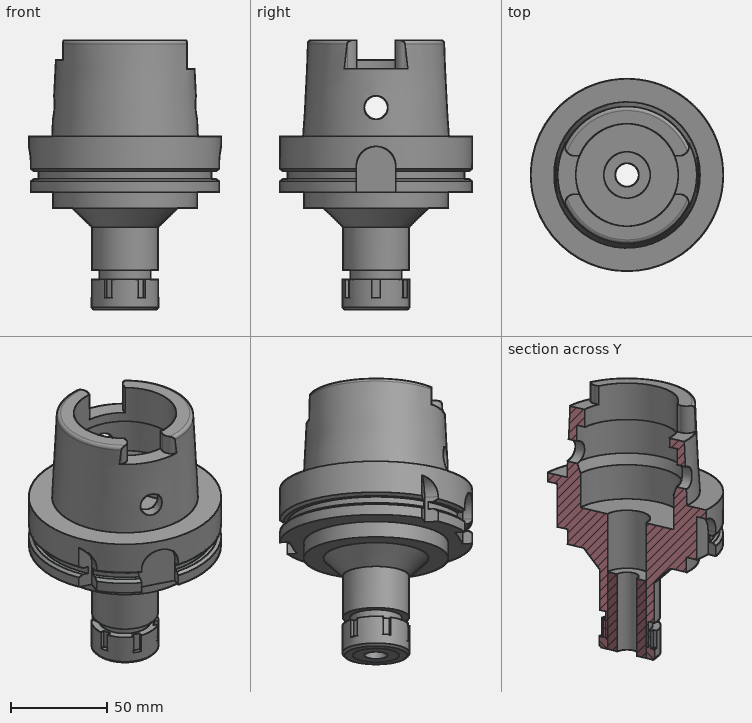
import cadquery as cq
import math

total_height = 140.0

taper_height = 50.0
flange_height = 29.0
boss_height = 8.3
cone_height = 9.8
shank_height = 22.4
neck_height = 4.8

flange_top = total_height - taper_height
flange_bottom = flange_top - flange_height
boss_bottom = flange_bottom - boss_height
cone_bottom = boss_bottom - cone_height
shank_bottom = cone_bottom - shank_height
nut_height = shank_bottom - neck_height

taper_base_radius = 38.0
taper_slope = 1 / 20
taper_mouth_radius = taper_base_radius - taper_slope * taper_height
mouth_rounding = 2.0
flange_radius = 50.0
boss_radius = 37.5
cone_top_radius = 27.3
shank_radius = 17.2
neck_radius = 13.5
nut_radius = 17.5

groove_top = flange_top - 16.8
groove_width = 6.6
groove_bottom = groove_top - groove_width
groove_radius = 46.0
groove_bevel_height = 1.4
groove_bevel_depth = 1.8

mouth_bore_radius = 26.6
mouth_bore_depth = 20.2
undercut_radius = 31.4
undercut_end_depth = 40.5
lower_cavity_radius = 29.1
cavity_cone_height = 5.6
cavity_depth = 65.0

drive_slot_half_width = 10.0
drive_slot_rounding = 5.0
drive_slot_shoulder = 32.2
drive_shoulder_half_width = 19.6
near_slot_depth = 10.2
far_slot_depth = 15.0

cross_hole_radius = 6.0
cross_hole_depth = 35.0

keyway_radius = 10.2
keyway_top = flange_top - 5.2
keyway_floor = 44.0
notch_offset = 41.6
notch_floor = 31.8

collet_radius = 12.0
collet_bore_radius = 6.0
nut_slot_count = 6
nut_slot_width = 4.2
nut_slot_height = 9.5
nut_slot_floor = 15.1
nut_chamfer = 1.3
neck_end = nut_height - nut_slot_height


def cylinder(radius, bottom, top):
    """Upright cylinder on the tool axis."""
    return cq.Workplane("XY").workplane(offset=bottom).circle(radius).extrude(top - bottom)


def revolve_profile(points):
    """Turn a (radius, height) outline around the tool axis."""
    return cq.Workplane("XZ").polyline(points).close().revolve(360, (0, 0, 0), (0, 1, 0))


def turned_body():
    taper = (
        revolve_profile([
            (0, flange_top),
            (taper_base_radius, flange_top),
            (taper_mouth_radius, total_height),
            (0, total_height),
        ])
        .faces(">Z")
        .edges()
        .fillet(mouth_rounding)
    )
    bevel_radius = flange_radius - groove_bevel_depth
    lower_part = revolve_profile([
        (0, flange_top),
        (flange_radius, flange_top),
        (flange_radius, groove_top),
        (bevel_radius, groove_top - groove_bevel_height),
        (groove_radius, groove_top - groove_bevel_height),
        (groove_radius, groove_bottom + groove_bevel_height),
        (bevel_radius, groove_bottom + groove_bevel_height),
        (flange_radius, groove_bottom),
        (flange_radius, flange_bottom),
        (boss_radius, flange_bottom),
        (boss_radius, boss_bottom),
        (cone_top_radius, boss_bottom),
        (shank_radius, cone_bottom),
        (shank_radius, shank_bottom),
        (neck_radius, shank_bottom),
        (neck_radius, neck_end),
        (0, neck_end),
    ])
    return taper.union(lower_part)


def clamping_cavity():
    lip = total_height - mouth_bore_depth
    undercut_end = total_height - undercut_end_depth
    floor = total_height - cavity_depth
    return revolve_profile([
        (0, total_height),
        (mouth_bore_radius, total_height),
        (mouth_bore_radius, lip),
        (undercut_radius, lip),
        (undercut_radius, undercut_end),
        (lower_cavity_radius, undercut_end - cavity_cone_height),
        (lower_cavity_radius, floor),
        (0, floor),
    ])


def drive_slot(side, depth):
    """Slot across one taper wall; side is -1 for -X and +1 for +X."""
    half = drive_slot_half_width
    start = drive_slot_shoulder - drive_slot_rounding
    corner = half + drive_slot_rounding
    mid_x = start + drive_slot_rounding * math.sin(math.radians(45))
    mid_y = corner - drive_slot_rounding * math.cos(math.radians(45))
    return (
        cq.Workplane("XY")
        .workplane(offset=total_height - depth)
        .moveTo(0, -half)
        .lineTo(side * start, -half)
        .threePointArc((side * mid_x, -mid_y), (side * drive_slot_shoulder, -corner))
        .lineTo(side * drive_slot_shoulder, -drive_shoulder_half_width)
        .lineTo(side * flange_radius, -drive_shoulder_half_width)
        .lineTo(side * flange_radius, drive_shoulder_half_width)
        .lineTo(side * drive_slot_shoulder, drive_shoulder_half_width)
        .lineTo(side * drive_slot_shoulder, corner)
        .threePointArc((side * mid_x, mid_y), (side * start, half))
        .lineTo(0, half)
        .close()
        .extrude(depth)
    )


def cross_hole():
    return (
        cq.Workplane("YZ")
        .center(0, total_height - cross_hole_depth)
        .circle(cross_hole_radius)
        .extrude(flange_radius, both=True)
    )


def keyway(side, floor, offset_y):
    """Round-topped keyway, open at the flange underside, with a flat floor facing along X."""
    arch_center = keyway_top - keyway_radius
    return (
        cq.Workplane("YZ", origin=(side * floor, offset_y, 0))
        .moveTo(-keyway_radius, flange_bottom)
        .lineTo(-keyway_radius, arch_center)
        .threePointArc((0, keyway_top), (keyway_radius, arch_center))
        .lineTo(keyway_radius, flange_bottom)
        .close()
        .extrude(side * flange_radius)
    )


def make_holder():
    holder = turned_body().cut(clamping_cavity())
    holder = holder.cut(drive_slot(-1, near_slot_depth))
    holder = holder.cut(drive_slot(1, far_slot_depth))
    holder = holder.cut(cross_hole())
    for side in (-1, 1):
        holder = holder.cut(keyway(side, keyway_floor, 0))
    holder = holder.cut(keyway(-1, notch_floor, notch_offset))
    return holder.cut(cylinder(collet_radius, neck_end, total_height - cavity_depth))


def nut_slot(index):
    radial_length = nut_radius
    return (
        cq.Workplane("XY")
        .box(radial_length, nut_slot_width, nut_slot_height, centered=(False, True, False))
        .translate((nut_slot_floor, 0, nut_height - nut_slot_height))
        .rotate((0, 0, 0), (0, 0, 1), index * 360 / nut_slot_count)
    )


def make_nut():
    nut = cylinder(nut_radius, 0, nut_height).faces("<Z").edges().chamfer(nut_chamfer)
    nut = nut.cut(cylinder(neck_radius, neck_end, nut_height))
    nut = nut.cut(cylinder(collet_radius, 0, neck_end))
    for index in range(nut_slot_count):
        nut = nut.cut(nut_slot(index))
    return nut


def make_collet():
    """Plain sleeve running from the nut face up to the top of the shank."""
    return cylinder(collet_radius, 0, cone_bottom).cut(cylinder(collet_bore_radius, 0, cone_bottom))


holder = make_holder()
nut = make_nut()
collet = make_collet()

result = cq.Compound.makeCompound([holder.val(), nut.val(), collet.val()])